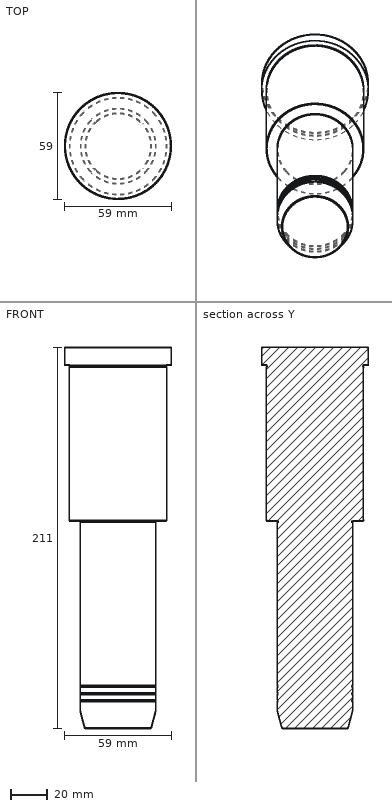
import cadquery as cq

total_length = 211.0
flange_thickness = 10.0
body_bottom = 114.8
tip_length = 10.0

flange_diameter = 59.0
body_diameter = 54.0
shank_diameter = 42.0
tip_diameter = 36.7
flange_radius = flange_diameter / 2
body_radius = body_diameter / 2
shank_radius = shank_diameter / 2
tip_radius = tip_diameter / 2

flange_chamfer = 0.5
body_chamfer = 0.5
tip_chamfer = 0.5

flange_relief_width = 1.0
flange_relief_depth = 0.5
body_relief_width = 0.6
body_relief_depth = 0.5

groove_width = 1.0
groove_depth = 0.5
groove_pitch = 4.0
lowest_groove_center = 15.5
groove_count = 3


def cylinder(radius, bottom, top):
    """Solid cylinder about the Z axis between two heights."""
    return cq.Workplane("XY").workplane(offset=bottom).circle(radius).extrude(top - bottom)


def ring_cut(radius, depth, bottom, width):
    """V-section ring of material to remove from the surface of a cylinder."""
    return (
        cq.Workplane("XZ")
        .moveTo(radius, bottom)
        .lineTo(radius - depth, bottom + width / 2)
        .lineTo(radius, bottom + width)
        .close()
        .revolve(360, (0, 0, 0), (0, 1, 0))
    )


flange_bottom = total_length - flange_thickness
flange = cylinder(flange_radius, flange_bottom, total_length).faces(">Z").chamfer(flange_chamfer)
body = cylinder(body_radius, body_bottom, flange_bottom).faces("<Z").chamfer(body_chamfer)
shank = cylinder(shank_radius, tip_length, body_bottom)
tip = (
    cq.Workplane("XY")
    .circle(tip_radius)
    .workplane(offset=tip_length)
    .circle(shank_radius)
    .loft()
    .faces("<Z")
    .chamfer(tip_chamfer)
)
result = tip.union(shank).union(body).union(flange)

flange_relief_bottom = flange_bottom - flange_relief_width
result = result.cut(ring_cut(body_radius, flange_relief_depth, flange_relief_bottom, flange_relief_width))
body_relief_bottom = body_bottom - body_relief_width
result = result.cut(ring_cut(shank_radius, body_relief_depth, body_relief_bottom, body_relief_width))

for index in range(groove_count):
    groove_bottom = lowest_groove_center + index * groove_pitch - groove_width / 2
    result = result.cut(ring_cut(shank_radius, groove_depth, groove_bottom, groove_width))